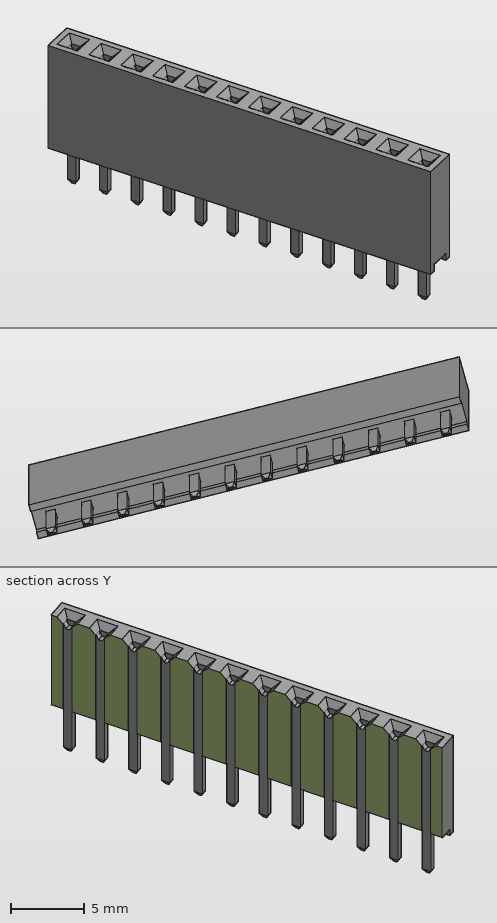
import cadquery as cq

pin_count = 12
length = 30.48
pitch = length / pin_count
width = 2.53
total_height = 11.6
housing_height = 8.45
channel_width = 1.55
channel_depth = 0.55

funnel_mouth = 1.62
funnel_depth = 0.45
bore_size = 0.67

pin_width = bore_size
pin_thickness = 0.45
tip_taper = 0.2
tip_height = 0.37
fork_floor_width = 0.27
fork_depth = 0.37

pin_bottom = housing_height - total_height
pin_shoulder = pin_bottom + tip_height
pin_top = housing_height - funnel_depth

tip_width = pin_width - 2 * tip_taper
tip_thickness = pin_thickness - 2 * tip_taper

pin_positions = [(i - (pin_count - 1) / 2) * pitch for i in range(pin_count)]


def make_housing():
    """Rectangular bar with an open channel along its underside."""
    bar = cq.Workplane("XY").box(length, width, housing_height, centered=(True, True, False))
    channel = cq.Workplane("XY").box(length, channel_width, channel_depth, centered=(True, True, False))
    return bar.cut(channel)


def make_socket():
    """Void of one socket: the funnel and the bore below it, open to the channel."""
    funnel = (
        cq.Workplane("XY", origin=(0, 0, pin_top))
        .rect(bore_size, bore_size)
        .workplane(offset=funnel_depth)
        .rect(funnel_mouth, funnel_mouth)
        .loft(ruled=True)
    )
    bore = (
        cq.Workplane("XY", origin=(0, 0, channel_depth))
        .rect(bore_size, bore_size)
        .extrude(pin_top - channel_depth)
    )
    return funnel.union(bore)


def make_pin():
    """One pin, with a V-sided fork in its top and a tapered tip."""
    tip = (
        cq.Workplane("XY", origin=(0, 0, pin_bottom))
        .rect(tip_width, tip_thickness)
        .workplane(offset=tip_height)
        .rect(pin_width, pin_thickness)
        .loft(ruled=True)
    )
    shank = (
        cq.Workplane("XY", origin=(0, 0, pin_shoulder))
        .rect(pin_width, pin_thickness)
        .extrude(pin_top - pin_shoulder)
    )
    fork_floor = pin_top - fork_depth
    fork = (
        cq.Workplane("XZ")
        .moveTo(-pin_width / 2, pin_top)
        .lineTo(-fork_floor_width / 2, fork_floor)
        .lineTo(fork_floor_width / 2, fork_floor)
        .lineTo(pin_width / 2, pin_top)
        .close()
        .extrude(pin_thickness / 2, both=True)
    )
    return tip.union(shank).cut(fork)


socket = make_socket()
pin = make_pin()
result = make_housing()
for x in pin_positions:
    result = result.cut(socket.translate((x, 0, 0)))
for x in pin_positions:
    result = result.union(pin.translate((x, 0, 0)))